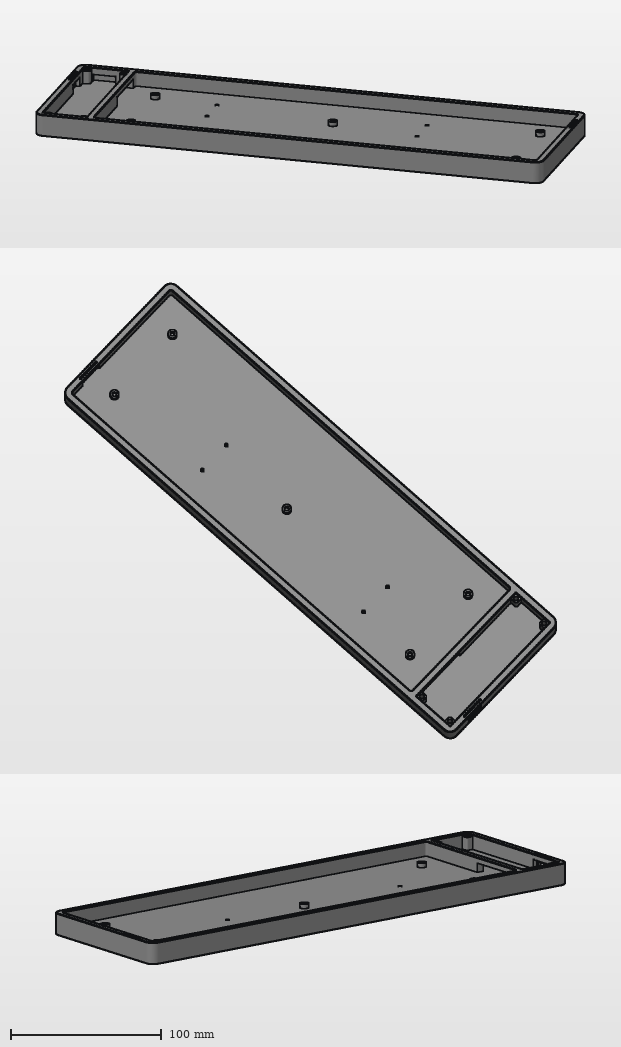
import cadquery as cq

LENGTH = 351.5
WIDTH = 107.2
HEIGHT = 15.0
FLOOR = 5.0
WALL = 5.0
CORNER_RADIUS = 6.0
INNER_RADIUS = 1.5
EDGE_CHAMFER = 0.5

SMALL_BAY_LENGTH = 30.2
CABLE_GAP_START = 6.5

OPENING_HEIGHT = 6.5

POST_SIZE = 5.0
POST_HOLE_D = 3.0
POST_DROP = 1.5
POST_RADIUS = 1.5

POCKET_Y = 29.5
POCKET_LENGTH = 16.0
POCKET_DEPTH = 3.0
SLOT_WIDTH = 1.0
PORT_WIDTH = 12.3
PORT_HEIGHT = 3.5
PORT_BOTTOM = 6.0

RECESS_LEFT = -165.5
RECESS_RIGHT = -149.5
RECESS_DEPTH = 4.0
RECESS_HEIGHT = 5.3

BOSS_D = 6.0
BOSS_HOLE_D = 3.0
BOSS_HEIGHT = 3.0
BOSS_XS = (-116.0, 150.8)
BOSS_Y = 28.5
CENTER_BOSS = (12.5, 9.5)

PILOT_D = 2.2
PILOT_DEPTH = 2.8
PILOT_XS = (-72.8, 72.8)
PILOT_YS = (27.0, 3.5)

INNER_X = LENGTH / 2 - WALL
INNER_Y = WIDTH / 2 - WALL
PARTITION_LEFT = SMALL_BAY_LENGTH - INNER_X
PARTITION_RIGHT = PARTITION_LEFT + WALL
OPENING_TOP = FLOOR + OPENING_HEIGHT


def block(x_range, y_range, z_range):
    """Box between the given limits, each range in either order."""
    (x0, x1), (y0, y1), (z0, z1) = (sorted(limits) for limits in (x_range, y_range, z_range))
    return cq.Workplane("XY").box(x1 - x0, y1 - y0, z1 - z0, centered=False).translate((x0, y0, z0))


def make_tray():
    """Rounded tray with two bays, chamfered along the bottom edge and every rim edge."""
    outer = block((-LENGTH / 2, LENGTH / 2), (-WIDTH / 2, WIDTH / 2), (0, HEIGHT))
    outer = outer.edges("|Z").fillet(CORNER_RADIUS)
    small_bay = block((-INNER_X, PARTITION_LEFT), (-INNER_Y, INNER_Y), (FLOOR, HEIGHT))
    main_bay = block((PARTITION_RIGHT, INNER_X), (-INNER_Y, INNER_Y), (FLOOR, HEIGHT))
    tray = outer.cut(small_bay).cut(main_bay.edges("|Z").fillet(INNER_RADIUS))
    return tray.faces("<Z or >Z").edges().chamfer(EDGE_CHAMFER)


def make_post(x_side, y_side):
    """Square post standing in a corner of the small bay, round on its free corner."""
    corner_x = -INNER_X if x_side < 0 else PARTITION_LEFT
    corner_y = y_side * INNER_Y
    free_x = corner_x - x_side * POST_SIZE
    free_y = corner_y - y_side * POST_SIZE
    post = block((corner_x, free_x), (corner_y, free_y), (FLOOR, HEIGHT - POST_DROP))
    free_edge = cq.selectors.NearestToPointSelector((free_x, free_y, HEIGHT / 2))
    post = post.edges("|Z").edges(free_edge).fillet(POST_RADIUS)
    center = ((corner_x + free_x) / 2, (corner_y + free_y) / 2, 0)
    return post.faces(">Z").workplane(origin=center).hole(POST_HOLE_D)


def make_pocket(side):
    """Low pocket in an end wall, with a thin slot at its back running up through the rim."""
    back = side * (INNER_X + POCKET_DEPTH)
    y_range = (POCKET_Y - POCKET_LENGTH / 2, POCKET_Y + POCKET_LENGTH / 2)
    pocket = block((side * INNER_X, back), y_range, (FLOOR, OPENING_TOP))
    return pocket.union(block((back - side * SLOT_WIDTH, back), y_range, (FLOOR, HEIGHT)))


def make_bosses():
    centers = [(x, y) for x in BOSS_XS for y in (-BOSS_Y, BOSS_Y)] + [CENTER_BOSS]
    floor_top = cq.Workplane("XY").workplane(offset=FLOOR).pushPoints(centers)
    return floor_top.circle(BOSS_D / 2).circle(BOSS_HOLE_D / 2).extrude(BOSS_HEIGHT)


def make_pilot_holes():
    centers = [(x, y) for x in PILOT_XS for y in PILOT_YS]
    floor_top = cq.Workplane("XY").workplane(offset=FLOOR)
    return floor_top.pushPoints(centers).circle(PILOT_D / 2).extrude(-PILOT_DEPTH)


cable_gap = block(
    (PARTITION_LEFT, PARTITION_RIGHT), (CABLE_GAP_START, INNER_Y - POST_SIZE), (FLOOR, OPENING_TOP)
)
port = block(
    (-LENGTH / 2, -INNER_X),
    (POCKET_Y - PORT_WIDTH / 2, POCKET_Y + PORT_WIDTH / 2),
    (PORT_BOTTOM, PORT_BOTTOM + PORT_HEIGHT),
)
recess = block(
    (RECESS_LEFT, RECESS_RIGHT), (INNER_Y, INNER_Y + RECESS_DEPTH), (FLOOR, FLOOR + RECESS_HEIGHT)
)

result = make_tray()
for x_side in (-1, 1):
    for y_side in (-1, 1):
        result = result.union(make_post(x_side, y_side))
for opening in (cable_gap, port, recess, make_pocket(-1), make_pocket(1), make_pilot_holes()):
    result = result.cut(opening)
result = result.union(make_bosses())